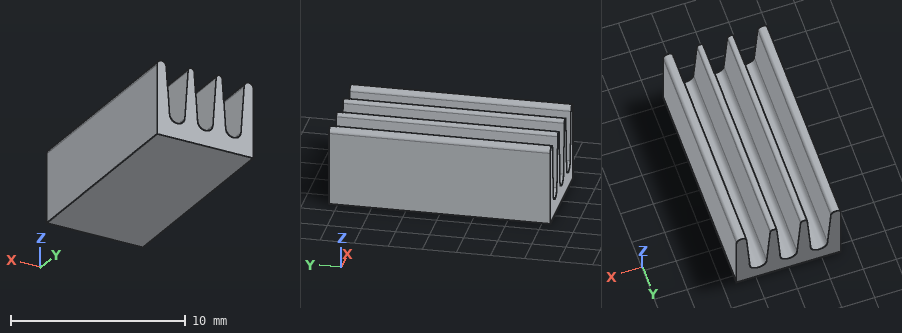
import cadquery as cq
import math

width = 6.35
length = 13.0
height = 4.8

groove_count = 3
groove_pitch = 1.85
groove_radius = 0.51
base_thickness = 1.0
wall_draft = math.radians(3.9)

slope = math.tan(wall_draft)
secant = 1 / math.cos(wall_draft)
groove_center_z = base_thickness + groove_radius
groove_half_width_at_top = groove_radius * secant + (height - groove_center_z) * slope
outer_groove_x = groove_pitch * (groove_count - 1) / 2
inner_tip_radius = (groove_pitch / 2 - groove_half_width_at_top) / (secant - slope)
outer_tip_radius = (width / 2 - outer_groove_x - groove_half_width_at_top) / (1 + secant - slope)


def tangent_point(center_x, center_z, radius, side, vertical):
    """Point where a drafted wall touches an arc; side and vertical are +1 or -1."""
    return (
        center_x + side * radius * math.cos(wall_draft),
        center_z + vertical * radius * math.sin(wall_draft),
    )


def add_groove(profile, center_x):
    """Run down the left wall and around the groove bottom."""
    left = tangent_point(center_x, groove_center_z, groove_radius, -1, -1)
    right = tangent_point(center_x, groove_center_z, groove_radius, 1, -1)
    return profile.lineTo(*left).threePointArc((center_x, base_thickness), right)


def add_inner_tip(profile, center_x):
    """Run up the fin flank and around its rounded tip."""
    center_z = height - inner_tip_radius
    left = tangent_point(center_x, center_z, inner_tip_radius, -1, 1)
    right = tangent_point(center_x, center_z, inner_tip_radius, 1, 1)
    return profile.lineTo(*left).threePointArc((center_x, height), right)


outer_tip_x = width / 2 - outer_tip_radius
outer_tip_z = height - outer_tip_radius
left_tip_end = tangent_point(-outer_tip_x, outer_tip_z, outer_tip_radius, 1, 1)
right_tip_start = tangent_point(outer_tip_x, outer_tip_z, outer_tip_radius, -1, 1)

profile = (
    cq.Workplane("XZ")
    .moveTo(-width / 2, 0)
    .lineTo(-width / 2, outer_tip_z)
    .threePointArc((-outer_tip_x, height), left_tip_end)
)
for index in range(groove_count):
    groove_x = -outer_groove_x + index * groove_pitch
    profile = add_groove(profile, groove_x)
    if index < groove_count - 1:
        profile = add_inner_tip(profile, groove_x + groove_pitch / 2)
profile = (
    profile.lineTo(*right_tip_start)
    .threePointArc((outer_tip_x, height), (width / 2, outer_tip_z))
    .lineTo(width / 2, 0)
    .close()
)

result = profile.extrude(length / 2, both=True)